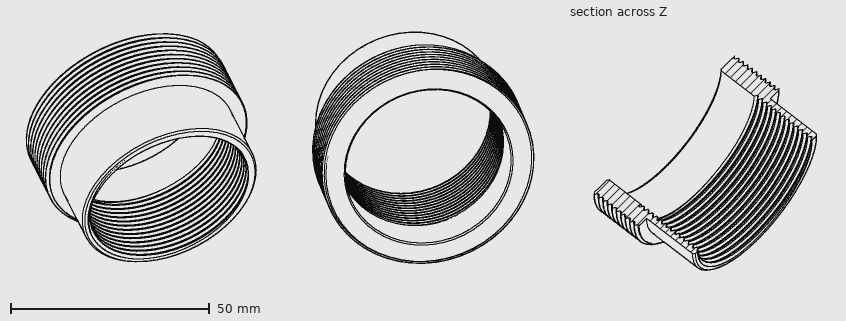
import cadquery as cq
import math

total_length = 31.0
collar_length = 15.0
spigot_diameter = 46.9
spigot_chamfer = 0.5
bore_chamfer = 0.4

pitch = 1.5
flank_angle = math.radians(30)
thread_depth = 5 / 8 * pitch * math.cos(flank_angle)
narrow_width = pitch / 8
wide_width = narrow_width + 2 * thread_depth * math.tan(flank_angle)
end_clearance = 1.0
embed_depth = 0.2

outer_thread_diameter = 54.0
inner_thread_diameter = 44.0
outer_major_radius = outer_thread_diameter / 2
outer_minor_radius = outer_major_radius - thread_depth
inner_major_radius = inner_thread_diameter / 2
bore_radius = inner_major_radius - thread_depth
inner_thread_start = 11.2

outer_crest_offset = narrow_width / 2
inner_groove_offset = 0.44


def cylinder(radius, start, end):
    """Cylinder on the X axis between two X positions."""
    return cq.Workplane("YZ", origin=(start, 0, 0)).circle(radius).extrude(end - start)


def helical_bar(minor_radius, major_radius, start, end, offset):
    """Right-handed bar of trapezoid section, narrow at the major radius, trimmed to start..end."""
    base_radius = minor_radius - embed_depth
    base_width = wide_width + 2 * embed_depth * math.tan(flank_angle)
    first_turn = math.floor((start - offset) / pitch) - 1
    turns = math.ceil((end - offset) / pitch) + 1 - first_turn
    path = cq.Wire.makeHelix(pitch, turns * pitch, minor_radius)
    bar = (
        cq.Workplane("XZ")
        .moveTo(base_radius, -base_width / 2)
        .lineTo(major_radius, -narrow_width / 2)
        .lineTo(major_radius, narrow_width / 2)
        .lineTo(base_radius, base_width / 2)
        .close()
        .sweep(cq.Workplane(obj=path), isFrenet=True)
        .rotate((0, 0, 0), (0, 0, 1), 180)
        .rotate((0, 0, 0), (0, 1, 0), 90)
        .translate((offset + first_turn * pitch, 0, 0))
    )
    return bar.intersect(cylinder(major_radius + end_clearance, start, end))


def make_blank():
    """Solid collar and spigot, before the threads and the bore."""
    collar = cylinder(outer_minor_radius, 0, collar_length)
    spigot = cylinder(spigot_diameter / 2, 0, total_length)
    return collar.union(spigot.faces(">X").edges().chamfer(spigot_chamfer))


def make_bore():
    """Through bore, chamfered at the collar face and threaded towards the spigot end."""
    start = cq.Vector(0, 0, 0)
    along_x = cq.Vector(1, 0, 0)
    chamfer_cone = cq.Solid.makeCone(bore_radius + bore_chamfer, bore_radius, bore_chamfer, start, along_x)
    bore_end = total_length + end_clearance
    groove = helical_bar(bore_radius, inner_major_radius, inner_thread_start, bore_end, inner_groove_offset)
    return cylinder(bore_radius, -end_clearance, bore_end).union(groove).union(cq.Workplane(obj=chamfer_cone))


def make_outer_ridge():
    """External thread over the whole collar, cut off flat at both collar faces."""
    return helical_bar(outer_minor_radius, outer_major_radius, 0, collar_length, outer_crest_offset)


result = make_blank().union(make_outer_ridge()).cut(make_bore())